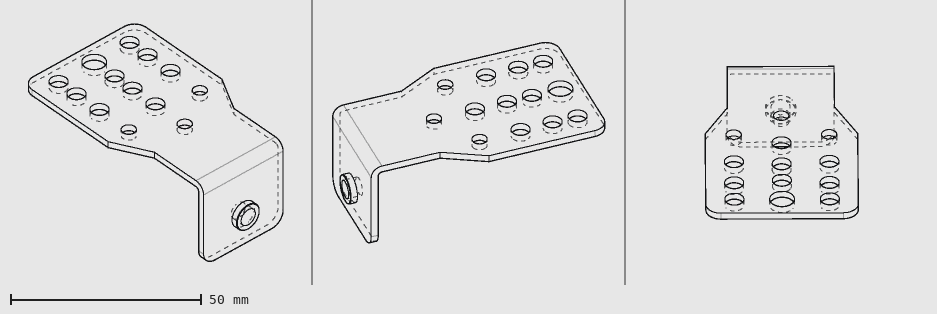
import cadquery as cq

thickness = 2.0
plate_length = 64.5
plate_width = 40.0
neck_width = 28.0
taper_start = 33.8
taper_end = 45.2
height = 26.65
inner_bend_radius = 1.0
outer_bend_radius = inner_bend_radius + thickness
corner_radius = 4.0

row_spacing = 12.5
large_diameter = 6.5
medium_diameter = 5.0
small_diameter = 4.0
outer_row_holes = [
    (6.0, medium_diameter),
    (13.0, medium_diameter),
    (22.0, medium_diameter),
    (33.5, small_diameter),
]
center_row_holes = [
    (6.0, large_diameter),
    (14.0, medium_diameter),
    (21.0, medium_diameter),
    (30.0, medium_diameter),
    (41.5, small_diameter),
]

boss_diameter = 8.0
boss_length = 1.9
boss_edge_chamfer = 0.15
boss_height = 10.1
bore_diameter = 5.0

flange_inner_x = plate_length - thickness
plate_bottom_z = height - thickness


def bent_sheet():
    """L-shaped sheet at full plate width, bent at the flange end."""
    return (
        cq.Workplane("XZ")
        .moveTo(0, plate_bottom_z)
        .lineTo(0, height)
        .lineTo(plate_length - outer_bend_radius, height)
        .radiusArc((plate_length, height - outer_bend_radius), outer_bend_radius)
        .lineTo(plate_length, 0)
        .lineTo(flange_inner_x, 0)
        .lineTo(flange_inner_x, plate_bottom_z - inner_bend_radius)
        .radiusArc((flange_inner_x - inner_bend_radius, plate_bottom_z), -inner_bend_radius)
        .close()
        .extrude(plate_width / 2, both=True)
    )


def plan_outline():
    """Wide end with rounded corners, tapering to the neck, as a tall prism."""
    half_width = plate_width / 2
    half_neck = neck_width / 2
    return (
        cq.Workplane("XY")
        .polyline([
            (0, -half_width),
            (taper_start, -half_width),
            (taper_end, -half_neck),
            (plate_length, -half_neck),
            (plate_length, half_neck),
            (taper_end, half_neck),
            (taper_start, half_width),
            (0, half_width),
        ])
        .close()
        .extrude(height)
        .edges("|Z and <X")
        .fillet(corner_radius)
    )


def drill_row(body, y, holes):
    """Cut a row of through holes in the plate at the given Y."""
    for x, diameter in holes:
        drill = (
            cq.Workplane("XY", origin=(x, y, plate_bottom_z))
            .circle(diameter / 2)
            .extrude(thickness)
        )
        body = body.cut(drill)
    return body


def flange_cylinder(diameter):
    """Cylinder along the boss axis, from the flange inner face to the boss end."""
    return (
        cq.Workplane("YZ", origin=(flange_inner_x, 0, boss_height))
        .circle(diameter / 2)
        .extrude(thickness + boss_length)
    )


bracket = bent_sheet().intersect(plan_outline())
bracket = bracket.edges("|X and <Z").fillet(corner_radius)

bracket = drill_row(bracket, 0, center_row_holes)
for side in (-1, 1):
    bracket = drill_row(bracket, side * row_spacing, outer_row_holes)

boss = flange_cylinder(boss_diameter).faces(">X").chamfer(boss_edge_chamfer)
bracket = bracket.union(boss)
result = bracket.cut(flange_cylinder(bore_diameter))